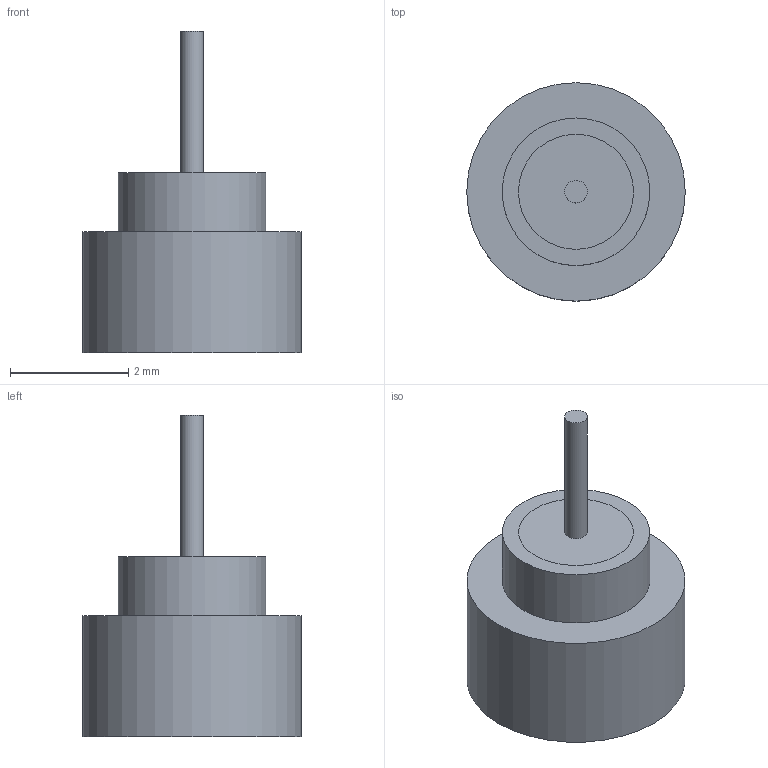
import cadquery as cq

body_diameter = 3.7
body_height = 2.05
collar_diameter = 2.5
collar_height = 1.0
seal_diameter = 1.95
pin_diameter = 0.38
pin_length = 2.4

collar_top = body_height + collar_height


def disc(diameter, height, base_z):
    """Solid cylinder on the Z axis, standing on the level base_z."""
    return cq.Workplane("XY").workplane(offset=base_z).circle(diameter / 2).extrude(height)


def make_collar():
    """Collar with a seal filling its bore flush with the collar's top face."""
    seal = disc(seal_diameter, collar_height, body_height)
    sleeve = disc(collar_diameter, collar_height, body_height).cut(seal)
    return sleeve.union(seal, clean=False)


body = disc(body_diameter, body_height, 0)
pin = disc(pin_diameter, pin_length, collar_top)

result = body.union(make_collar(), clean=False).union(pin, clean=False)